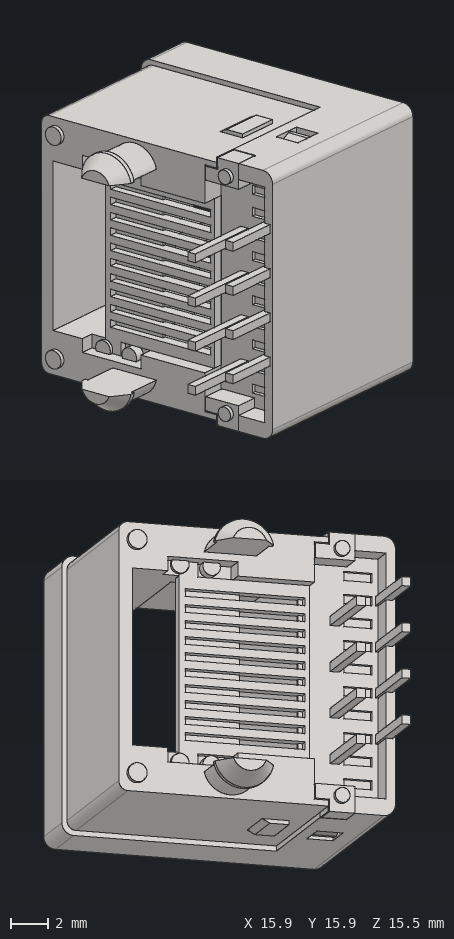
import cadquery as cq


width = 15.89
height = 15.49
depth = 12.47
front_band = 3.25
inset = 0.29
skin_right = 12.09
outer_radius = 0.65
skin_radius = 0.51
half_height = height / 2
skin_half_height = half_height - inset
band_start = depth - front_band

opening_left = 3.95
opening_right = 10.81
opening_start = 2.33
opening_half_height = 5.98
chamber_left = 1.07
chamber_half_height = 4.9
key_step = 2.33
key_half_wide = 3.15
key_half_narrow = 2.01

comb_front = 0.85
comb_back = 1.5
comb_right = 11.31
ear_right = 5.01
ear_pocket_left = 3.05
ear_pocket_right = 7.0
ear_pocket_depth = 1.25
ear_half_height = 5.7
stake_front = 0.64
stake_radius = 0.5
stake_offset = 0.2
stake_places = (opening_left, 5.73)

slot_count = 10
slot_span = 7.98
slot_height = 0.43
slot_left = 4.3
slot_right = 11.05
slot_depth = 0.48
window_left = 7.5

insert_right = 15.35
insert_front = 1.44
insert_half_height = 6.81
foot_gap = 0.06
foot_right = 13.59
foot_inner = 6.25
foot_step = 7.07
foot_step_left = 12.17
recess_count = 10
recess_left = 13.43
recess_right = 15.01
recess_depth = 0.25

pin_pitch = 1.28
pin_size = 0.51
pin_tip = -3.27
pin_column_left = 12.9
pin_column_right = pin_column_left + 2 * pin_pitch
pins_per_column = 4
pin_top_left = 2.5 * pin_pitch
pin_top_right = 3.5 * pin_pitch

snap_left = 12.84
snap_right = 14.29
snap_start = 4.34
snap_end = 6.12
snap_gap = 0.08
snap_crest_start = 5.3
snap_crest_end = 5.55
snap_shoulder = 7.23
snap_crest = 7.7

ramp_left = 9.54
ramp_crest_left = 9.97
ramp_right = 11.05
ramp_start = 3.7
ramp_end = 6.35
ramp_height = 0.22

peg_x = 6.57
peg_z = 5.74
peg_flat = 6.1
peg_radius = 1.52
peg_collar_radius = 1.69
peg_tip_radius = 0.99
peg_collar_top = -2.2
peg_collar_end = -2.49
peg_tip = depth - 15.95
standoff = 0.25
corner_standoff = (1.28, 6.46)
corner_standoff_radius = 0.53
foot_standoff = (12.82, 6.85)
foot_standoff_radius = 0.41


def block(x0, x1, y0, y1, z0, z1):
    return cq.Workplane("XY").box(x1 - x0, y1 - y0, z1 - z0, centered=False).translate((x0, y0, z0))


def tall_block(x0, x1, y0, y1, half):
    """Block that is symmetric about Z = 0."""
    return block(x0, x1, y0, y1, -half, half)


def rod(x, z, radius, y0, y1):
    """Cylinder along Y."""
    return cq.Workplane("XZ", origin=(x, y0, z)).circle(radius).extrude(y0 - y1)


def with_mirror(shape):
    """The shape together with its copy across Z = 0."""
    return shape.union(shape.mirror("XY"))


def column(count, pitch, first_z):
    """Z heights going down from first_z."""
    return [first_z - i * pitch for i in range(count)]


def pins():
    half = pin_size / 2
    bars = cq.Workplane("XY")
    for x, top in ((pin_column_left, pin_top_left), (pin_column_right, pin_top_right)):
        for z in column(pins_per_column, 2 * pin_pitch, top):
            bars = bars.union(block(x - half, x + half, pin_tip, insert_front, z - half, z + half))
    return bars


def stakes():
    """Rods on the ear pocket floors, cut flush with the end walls of the pockets."""
    upper = cq.Workplane("XY")
    for x in stake_places:
        upper = upper.union(rod(x, ear_half_height - stake_offset, stake_radius, stake_front, ear_pocket_depth))
    pocket = tall_block(ear_pocket_left, ear_pocket_right, 0, ear_pocket_depth, ear_half_height)
    return with_mirror(upper.intersect(pocket))


def shell():
    full = tall_block(0, width, 0, depth, half_height).edges("|Y").fillet(outer_radius)
    skin = tall_block(inset, skin_right, 0, band_start, skin_half_height)
    skin = skin.edges("|Y and <X").fillet(skin_radius)
    front = tall_block(0, width, band_start, depth, half_height)
    right = tall_block(skin_right, width, 0, depth, half_height)
    return full.intersect(front.union(right)).union(skin)


def plug_cavity():
    opening = tall_block(opening_left, opening_right, opening_start, depth, opening_half_height)
    chamber = tall_block(chamber_left, opening_left, 0, band_start, chamber_half_height)
    behind_comb = tall_block(opening_left, opening_right, 0, opening_start, chamber_half_height)
    key_wide = tall_block(key_step, opening_left, band_start, depth, key_half_wide)
    key_narrow = tall_block(chamber_left, key_step, band_start, depth, key_half_narrow)
    return opening.union(chamber).union(behind_comb).union(key_wide).union(key_narrow)


def comb_seat():
    seat = tall_block(opening_left, comb_right, 0, comb_back, chamber_half_height)
    shallow = tall_block(ear_pocket_left, opening_left, 0, comb_front, ear_half_height)
    deep = tall_block(opening_left, ear_pocket_right, 0, ear_pocket_depth, ear_half_height)
    return seat.union(shallow).union(deep)


def insert_cavity():
    cavity = tall_block(comb_right, insert_right, 0, band_start, insert_half_height)
    back = insert_front + foot_gap
    wide = tall_block(comb_right, foot_right, 0, back, foot_step + foot_gap)
    narrow = tall_block(foot_step_left - foot_gap, foot_right, 0, back, half_height)
    windows = tall_block(snap_left, snap_right, snap_start, snap_end, half_height)
    return cavity.union(wide).union(narrow).union(windows)


def latch_ramp():
    crest = skin_half_height + ramp_height
    profile = [
        (ramp_left, skin_half_height),
        (ramp_crest_left, crest),
        (ramp_right, crest),
        (ramp_right, skin_half_height),
    ]
    return cq.Workplane("XZ", origin=(0, ramp_start, 0)).polyline(profile).close().extrude(ramp_start - ramp_end)


def board_peg():
    profile = [
        (0, 0),
        (peg_radius, 0),
        (peg_radius, peg_collar_top),
        (peg_collar_radius, peg_collar_top),
        (peg_collar_radius, peg_collar_end),
        (peg_tip_radius, peg_tip),
        (0, peg_tip),
    ]
    peg = cq.Workplane("XY").polyline(profile).close().revolve(360, (0, 0), (0, 1))
    peg = peg.translate((peg_x, 0, peg_z))
    reach = peg_collar_radius
    return peg.intersect(block(peg_x - reach, peg_x + reach, peg_tip, 0, peg_flat, peg_z + reach))


def make_housing():
    body = shell().cut(plug_cavity()).cut(comb_seat()).cut(insert_cavity()).cut(pins())
    corner_x, corner_z = corner_standoff
    details = (
        latch_ramp(),
        board_peg(),
        rod(corner_x, corner_z, corner_standoff_radius, -standoff, 0),
    )
    for detail in details:
        body = body.union(with_mirror(detail))
    return body.union(stakes())


def make_comb():
    plate = tall_block(opening_left, comb_right, comb_front, comb_back, chamber_half_height)
    ears = tall_block(opening_left, ear_right, comb_front, ear_pocket_depth, ear_half_height)
    plate = plate.union(ears).cut(stakes())
    half = slot_height / 2
    for z in column(slot_count, slot_span / (slot_count - 1), slot_span / 2):
        slot = block(slot_left, slot_right, comb_front, comb_front + slot_depth, z - half, z + half)
        window = block(window_left, opening_right, comb_front, comb_back, z - half, z + half)
        plate = plate.cut(slot).cut(window)
    return plate


def insert_foot():
    wide = block(comb_right + foot_gap, foot_right, 0, insert_front, foot_inner, foot_step)
    narrow = block(foot_step_left, foot_right, 0, insert_front, foot_inner, half_height)
    x, z = foot_standoff
    return wide.union(narrow).union(rod(x, z, foot_standoff_radius, -standoff, 0))


def snap_ridge():
    start = snap_start + snap_gap
    end = snap_end - snap_gap
    profile = [
        (start, insert_half_height),
        (start, snap_shoulder),
        (snap_crest_start, snap_crest),
        (snap_crest_end, snap_crest),
        (end, snap_shoulder),
        (end, insert_half_height),
    ]
    left = snap_left + snap_gap
    ridge = cq.Workplane("YZ", origin=(left, 0, 0)).polyline(profile).close()
    return ridge.extrude(snap_right - snap_gap - left)


def make_insert():
    body = tall_block(comb_right, insert_right, insert_front, band_start, insert_half_height)
    half = pin_size / 2
    recess_back = insert_front + recess_depth
    for z in column(recess_count, pin_pitch, (recess_count - 1) * pin_pitch / 2):
        body = body.cut(block(recess_left, recess_right, insert_front, recess_back, z - half, z + half))
    return body.union(with_mirror(insert_foot())).union(with_mirror(snap_ridge())).union(pins())


housing = make_housing()
comb = make_comb()
insert = make_insert()

result = cq.Compound.makeCompound([body.solids().val() for body in (housing, comb, insert)])